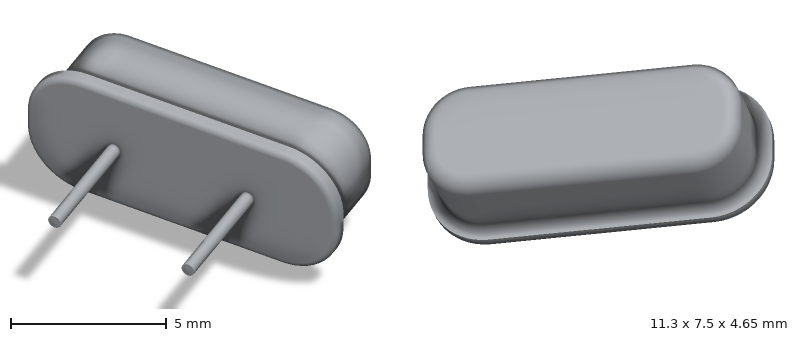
import cadquery as cq

flange_length = 11.35
flange_width = 4.65
flange_thickness = 0.5
flange_corner_radius = 2.0
flange_edge_round = 0.2

ledge_width = 0.425
can_length = flange_length - 2 * ledge_width
can_width = flange_width - 2 * ledge_width
can_corner_radius = flange_corner_radius - ledge_width
case_height = 3.5
can_top_round = 0.5
can_foot_fillet = 0.3

lead_diameter = 0.46
lead_length = 4.0
lead_pitch = 4.88



def rounded_block(length, width, height, corner_radius):
    """Block from Y = 0 up to the given height, with its four corners rounded."""
    block = cq.Workplane("XZ").rect(length, width).extrude(-height)
    return block.edges("|Y").fillet(corner_radius)


def make_case():
    flange = rounded_block(flange_length, flange_width, flange_thickness, flange_corner_radius)
    can = rounded_block(can_length, can_width, case_height, can_corner_radius)
    case = flange.union(can)

    foot_reach_x = (can_length + ledge_width) / 2
    foot_reach_z = (can_width + ledge_width) / 2
    foot_zone = cq.selectors.BoxSelector(
        (-foot_reach_x, flange_thickness / 2, -foot_reach_z),
        (foot_reach_x, case_height / 2, foot_reach_z),
        boundingbox=True,
    )
    case = case.edges(foot_zone).fillet(can_foot_fillet)
    case = case.faces(">Y").edges().fillet(can_top_round)
    return case.faces("<Y").edges().fillet(flange_edge_round)


def make_lead(x_position):
    return cq.Workplane("XZ").center(x_position, 0).circle(lead_diameter / 2).extrude(lead_length)


result = make_case()
for side in (-1, 1):
    result = result.union(make_lead(side * lead_pitch / 2))